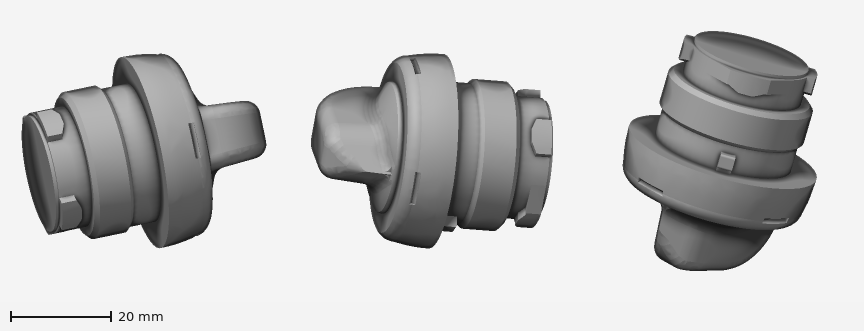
import cadquery as cq
import math


END_RADIUS = 11.85
NECK_RADIUS = 12.3
BARREL_RADIUS = 14.1
COLLAR_RADIUS = 15.0
END_HEIGHT = 0.75
COLLAR_BOTTOM = 7.33
COLLAR_TOP = 15.65
COLLAR_CHAMFER = COLLAR_RADIUS - BARREL_RADIUS

LUG_RADIUS = 13.85
LUG_HALF_WIDTH = 3.7
LUG_TIP_HALF_WIDTH = 1.5
LUG_SHOULDER = 3.78
LUG_TOP = 4.8

PIN_WIDTH = 3.0
PIN_STEP_RADIUS = 15.0
PEG_RADIUS = 16.3
PEG_BOTTOM = 17.35
PEG_TOP = 20.3
PEG_ROUND = 0.45

FLANGE_BOTTOM = 21.25
FLANGE_TOP = 31.1
FLANGE_RADIUS = 39.0 / 2
FLANGE_SHOULDER_RADIUS = 18.65
FLANGE_SHOULDER = 28.6
FLANGE_TOP_RADIUS = 17.1
FLANGE_SIDE_MIDDLE = (19.3, 25.02)
FLANGE_EDGE_MIDDLE = (18.05, 30.3)

SLOT_LENGTH = 7.2
SLOT_HEIGHT = 1.2
SLOT_MIDDLE = 28.57
SLOT_WALL_RADIUS = 18.2
SLOT_VALLEY_RADIUS = 17.5

DOME_RADIUS = 13.25
DOME_SPHERE_RADIUS = 25.95
DOME_SPHERE_CENTRE = 9.7
DOME_RIM_ROUND = 1.35
DOME_RIM_INNER = 12.35
DOME_RIM_TOP = 32.65

KNOB_TOP = 45.5
KNOB_BOTTOM = 31.4
KNOB_ROOT = 27.3
KNOB_FRONT = 16.45
NOSE_RADIUS = 11.55
FLANK_ROOT = 6.82
FLANK_TOP = 5.65
FLANK_ROUND = 7.75
TAIL_ROOT = 13.3
TAIL_DRAFT = 4.2
TAIL_ARC_START = (-6.35, KNOB_TOP)
TAIL_ARC_MIDDLE = (-11.2, 39.8)
TAIL_ARC_END = (-12.95, 31.85)
EDGE_ROUND = 2.9
BLEND_RADIUS = 2.75
BLEND_HALF_WIDTH = 7.75
KNOB_ANGLE = -45

OVERSIZE = 45.5
SLACK = 0.45


def disc(radius, bottom, top):
    return cq.Workplane("XY").workplane(offset=bottom).circle(radius).extrude(top - bottom)


def make_stem():
    collar = disc(COLLAR_RADIUS, COLLAR_BOTTOM, COLLAR_TOP).edges().chamfer(COLLAR_CHAMFER)
    return (
        disc(END_RADIUS, 0, END_HEIGHT)
        .union(disc(NECK_RADIUS, END_HEIGHT, COLLAR_BOTTOM))
        .union(collar)
        .union(disc(BARREL_RADIUS, COLLAR_TOP, FLANGE_BOTTOM))
    )


def lug_blank():
    return (
        cq.Workplane("XZ")
        .moveTo(-LUG_HALF_WIDTH, END_HEIGHT)
        .lineTo(LUG_HALF_WIDTH, END_HEIGHT)
        .lineTo(LUG_HALF_WIDTH, LUG_SHOULDER)
        .lineTo(LUG_TIP_HALF_WIDTH, LUG_TOP)
        .lineTo(-LUG_TIP_HALF_WIDTH, LUG_TOP)
        .lineTo(-LUG_HALF_WIDTH, LUG_SHOULDER)
        .close()
        .extrude(-LUG_RADIUS)
    )


def make_lugs():
    lugs = lug_blank()
    for angle in (90, 180, 270):
        lugs = lugs.union(lug_blank().rotate((0, 0, 0), (0, 0, 1), angle))
    tangent = NECK_RADIUS / math.sqrt(2)
    flare = (
        cq.Workplane("XY")
        .workplane(offset=END_HEIGHT)
        .polyline([(0, 0), (tangent, tangent), (0, 2 * tangent), (-tangent, tangent)])
        .close()
        .extrude(LUG_SHOULDER - END_HEIGHT)
    )
    return lugs.union(flare).intersect(disc(LUG_RADIUS, END_HEIGHT, LUG_TOP))


def make_pin():
    peg = (
        cq.Workplane("XY")
        .box(PIN_WIDTH, PEG_RADIUS, PEG_TOP - PEG_BOTTOM, centered=(True, False, False))
        .translate((0, 0, PEG_BOTTOM))
        .edges("|X and >Y")
        .fillet(PEG_ROUND)
    )
    step = (
        cq.Workplane("XY")
        .box(PIN_WIDTH, PIN_STEP_RADIUS, FLANGE_BOTTOM - PEG_TOP, centered=(True, False, False))
        .translate((0, 0, PEG_TOP))
    )
    return peg.union(step)


def make_flange():
    flange = (
        cq.Workplane("XZ")
        .moveTo(0, FLANGE_BOTTOM)
        .lineTo(FLANGE_RADIUS, FLANGE_BOTTOM)
        .threePointArc(FLANGE_SIDE_MIDDLE, (FLANGE_SHOULDER_RADIUS, FLANGE_SHOULDER))
        .threePointArc(FLANGE_EDGE_MIDDLE, (FLANGE_TOP_RADIUS, FLANGE_TOP))
        .lineTo(0, FLANGE_TOP)
        .close()
        .revolve(360, (0, 0, 0), (0, 1, 0))
    )
    slot_top = SLOT_MIDDLE + SLOT_HEIGHT / 2
    slot_bottom = SLOT_MIDDLE - SLOT_HEIGHT / 2
    slot = (
        cq.Workplane("XZ")
        .moveTo(SLOT_VALLEY_RADIUS, SLOT_MIDDLE)
        .lineTo(SLOT_WALL_RADIUS, slot_top)
        .lineTo(FLANGE_RADIUS, slot_top)
        .lineTo(FLANGE_RADIUS, slot_bottom)
        .lineTo(SLOT_WALL_RADIUS, slot_bottom)
        .close()
        .extrude(SLOT_LENGTH / 2, both=True)
    )
    for angle in (45, 135, 225, 315):
        flange = flange.cut(slot.rotate((0, 0, 0), (0, 0, 1), angle))
    return flange


def make_bar():
    bar = (
        cq.Workplane("YZ")
        .moveTo(-FLANK_ROOT, KNOB_ROOT)
        .lineTo(FLANK_ROOT, KNOB_ROOT)
        .lineTo(FLANK_TOP, KNOB_TOP)
        .lineTo(-FLANK_TOP, KNOB_TOP)
        .close()
        .extrude(OVERSIZE, both=True)
    )
    tail = (
        cq.Workplane("XY")
        .workplane(offset=KNOB_ROOT)
        .rect(OVERSIZE, OVERSIZE)
        .extrude(KNOB_TOP - KNOB_ROOT, taper=TAIL_DRAFT)
        .rotate((0, 0, 0), (0, 0, 1), 45)
        .translate((OVERSIZE / math.sqrt(2) - TAIL_ROOT, 0, 0))
    )
    corner_x = FLANK_ROOT - TAIL_ROOT
    corner_lean = (KNOB_TOP - KNOB_ROOT) * math.tan(math.radians(TAIL_DRAFT))
    corners = cq.selectors.BoxSelector(
        (corner_x - SLACK, -FLANK_ROOT, KNOB_ROOT + SLACK),
        (corner_x + corner_lean, FLANK_ROOT, KNOB_TOP - SLACK),
    )
    return bar.intersect(tail).edges(corners).fillet(FLANK_ROUND)


def make_side_outline():
    nose_x = KNOB_FRONT - NOSE_RADIUS
    nose_z = KNOB_TOP - NOSE_RADIUS
    nose_diagonal = NOSE_RADIUS / math.sqrt(2)
    return (
        cq.Workplane("XZ")
        .moveTo(-TAIL_ROOT, KNOB_ROOT)
        .lineTo(KNOB_FRONT, KNOB_ROOT)
        .lineTo(KNOB_FRONT, nose_z)
        .threePointArc((nose_x + nose_diagonal, nose_z + nose_diagonal), (nose_x, KNOB_TOP))
        .lineTo(*TAIL_ARC_START)
        .threePointArc(TAIL_ARC_MIDDLE, TAIL_ARC_END)
        .close()
        .extrude(OVERSIZE, both=True)
    )


def make_grip():
    grip = make_bar().intersect(make_side_outline())
    high = KNOB_TOP - NOSE_RADIUS / 2
    above = KNOB_TOP + SLACK
    left_rim = cq.selectors.BoxSelector((-OVERSIZE, SLACK, high), (OVERSIZE, OVERSIZE, above))
    right_rim = cq.selectors.BoxSelector((-OVERSIZE, -OVERSIZE, high), (OVERSIZE, -SLACK, above))
    tail_x = TAIL_ARC_START[0]
    tail_edge = cq.selectors.BoxSelector((tail_x - SLACK, -SLACK, high), (tail_x + SLACK, SLACK, above))
    return grip.edges(left_rim + right_rim + tail_edge).fillet(EDGE_ROUND)


def make_knob():
    grip = make_grip()
    cap = (
        cq.Workplane("XZ")
        .sphere(DOME_SPHERE_RADIUS)
        .translate((0, 0, DOME_SPHERE_CENTRE))
        .intersect(disc(FLANGE_SHOULDER_RADIUS, FLANGE_BOTTOM, KNOB_TOP))
    )
    joined = cap.union(grip)
    outline = joined.faces("%SPHERE").val().innerWires()[0]
    blended = cq.Workplane(joined.solids().val().fillet(BLEND_RADIUS, outline.Edges()))
    envelope = (
        cq.Workplane("XZ")
        .moveTo(0, FLANGE_TOP)
        .lineTo(DOME_RADIUS, FLANGE_TOP)
        .lineTo(DOME_RADIUS, KNOB_BOTTOM)
        .radiusArc((DOME_RIM_INNER, DOME_RIM_TOP), -DOME_RIM_ROUND)
        .lineTo(DOME_RIM_INNER, KNOB_TOP)
        .lineTo(0, KNOB_TOP)
        .close()
        .revolve(360, (0, 0, 0), (0, 1, 0))
    )
    dome = blended.intersect(envelope)
    nose_zone = (
        cq.Workplane("XY")
        .box(OVERSIZE, 2 * BLEND_HALF_WIDTH, KNOB_TOP - KNOB_BOTTOM, centered=(False, True, False))
        .translate((0, 0, KNOB_BOTTOM))
    )
    above_gap = disc(OVERSIZE, KNOB_BOTTOM, KNOB_TOP)
    return dome.union(blended.intersect(nose_zone)).union(grip.intersect(above_gap))


result = (
    make_stem()
    .union(make_lugs())
    .union(make_pin())
    .union(make_flange())
    .union(make_knob().rotate((0, 0, 0), (0, 0, 1), KNOB_ANGLE))
    .rotate((0, 0, 0), (1, 0, 0), -90)
)